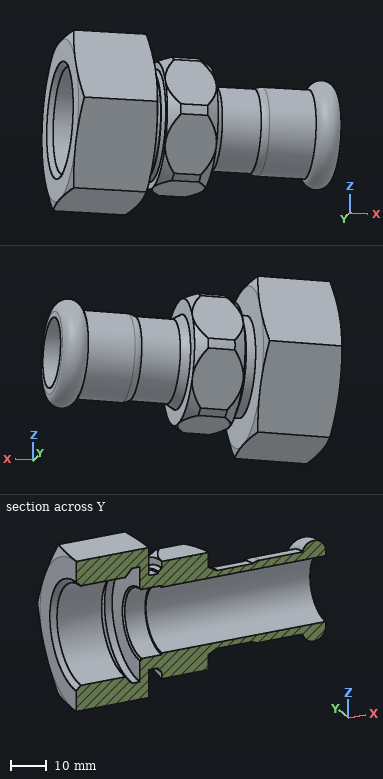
import cadquery as cq
import math


nut_across_flats = 46.0
nut_length = 22.95
nut_chamfer_angle = 15.0
thread_bore_diameter = 30.29
thread_mouth_diameter = 33.25
thread_mouth_depth = 1.5
thread_bore_depth = 15.5
relief_diameter = 35.0
relief_cone_length = 2.1
seat_depth = 20.0

tail_diameter = 29.0
collar_diameter = 30.0
collar_start = 25.8
collar_angle = 40.0

hex_start = 26.9
hex_length = 14.7
hex_across_flats = 36.0
hex_corner_diameter = 40.0
hex_chamfer_angle = 30.0
hex_end = hex_start + hex_length

pipe_diameter = 24.0
shoulder_diameter = 27.0
shoulder_angle = 30.0
socket_diameter = 25.3
socket_start = 55.4
socket_flare_length = 2.2
bead_diameter = 31.0
bead_width = 7.5
overall_length = 78.5
bead_center = overall_length - bead_width / 2

seat_mouth_diameter = 22.0
seat_bore_diameter = 21.0
seat_chamfer = (seat_mouth_diameter - seat_bore_diameter) / 2
passage_diameter = 20.0

sides = 6


def slope(angle):
    return math.tan(math.radians(angle))


def spin(profile):
    """Revolve a closed half-profile about the X axis."""
    return profile.revolve(360, (0, 0), (1, 0))


def cylinder(diameter, start, end):
    return cq.Workplane("YZ", origin=(start, 0, 0)).circle(diameter / 2).extrude(end - start)


def cone(start_diameter, end_diameter, start, end):
    """Solid frustum along X."""
    outline = [(start, 0), (start, start_diameter / 2), (end, end_diameter / 2), (end, 0)]
    return spin(cq.Workplane("XY").polyline(outline).close())


def chamfered_hexagon(across_flats, turned_diameter, start, end, cone_length):
    """Hexagon with corners toward +Y and -Y, coned at both ends down to its inscribed circle."""
    corner_diameter = across_flats / math.cos(math.pi / sides)
    prism = cq.Workplane("YZ", origin=(start, 0, 0)).polygon(sides, corner_diameter).extrude(end - start)
    flat_radius = across_flats / 2
    turned_radius = turned_diameter / 2
    envelope = [
        (start, 0),
        (start, flat_radius),
        (start + cone_length, turned_radius),
        (end - cone_length, turned_radius),
        (end, flat_radius),
        (end, 0),
    ]
    return prism.intersect(spin(cq.Workplane("XY").polyline(envelope).close()))


def union_nut():
    corner_diameter = nut_across_flats / math.cos(math.pi / sides)
    cone_length = (corner_diameter - nut_across_flats) / 2 * slope(nut_chamfer_angle)
    return chamfered_hexagon(nut_across_flats, corner_diameter, 0, nut_length, cone_length)


def tailpiece():
    collar_end_diameter = collar_diameter + 2 * (hex_start - collar_start) * slope(collar_angle)
    collar = cone(collar_diameter, collar_end_diameter, collar_start, hex_start)
    return cylinder(tail_diameter, nut_length, hex_start).union(collar)


def hex_body():
    cone_length = (hex_corner_diameter - hex_across_flats) / 2 / slope(hex_chamfer_angle)
    return chamfered_hexagon(hex_across_flats, hex_corner_diameter, hex_start, hex_end, cone_length)


def flare_midpoint(pipe_radius, socket_radius):
    """A point on the flare arc, which runs tangent into the socket."""
    rise = socket_radius - pipe_radius
    arc_radius = (socket_flare_length**2 + rise**2) / (2 * rise)
    half_sweep = math.asin(socket_flare_length / arc_radius) / 2
    x = socket_start + socket_flare_length - arc_radius * math.sin(half_sweep)
    return x, socket_radius - arc_radius * (1 - math.cos(half_sweep))


def pipe():
    """Pipe with a conical shoulder, and an arc flaring it out to the press socket."""
    pipe_radius = pipe_diameter / 2
    socket_radius = socket_diameter / 2
    shoulder_radius = shoulder_diameter / 2
    shoulder_end = hex_end + (shoulder_radius - pipe_radius) / slope(shoulder_angle)
    flare_end = socket_start + socket_flare_length
    profile = (
        cq.Workplane("XY")
        .moveTo(hex_end, 0)
        .lineTo(hex_end, shoulder_radius)
        .lineTo(shoulder_end, pipe_radius)
        .lineTo(socket_start, pipe_radius)
        .threePointArc(flare_midpoint(pipe_radius, socket_radius), (flare_end, socket_radius))
        .lineTo(bead_center, socket_radius)
        .lineTo(bead_center, 0)
        .close()
    )
    return spin(profile)


def bead():
    """Rounded rim at the socket mouth, with a flat core out to the end face."""
    tube_radius = bead_width / 2
    ring_radius = bead_diameter / 2 - tube_radius
    ring = cq.Workplane("XY").center(bead_center, ring_radius).circle(tube_radius)
    rim = ring.revolve(360, (0, -ring_radius), (1, -ring_radius))
    return rim.union(cylinder(2 * ring_radius, bead_center, overall_length))


def flow_passage():
    """Stepped void along the axis, widest in the relief behind the nut thread."""
    thread_mouth = cone(thread_mouth_diameter, thread_bore_diameter, 0, thread_mouth_depth)
    thread_bore = cylinder(thread_bore_diameter, 0, thread_bore_depth)
    relief_start = thread_bore_depth + relief_cone_length
    relief_cone = cone(thread_bore_diameter, relief_diameter, thread_bore_depth, relief_start)
    relief = cylinder(relief_diameter, relief_start, seat_depth)
    seat_mouth = cone(seat_mouth_diameter, seat_bore_diameter, seat_depth, seat_depth + seat_chamfer)
    seat_bore = cylinder(seat_bore_diameter, seat_depth, hex_start)
    passage = cylinder(passage_diameter, 0, overall_length)
    nut_bore = thread_mouth.union(thread_bore).union(relief_cone).union(relief)
    return nut_bore.union(seat_mouth).union(seat_bore).union(passage)


body = union_nut().union(tailpiece()).union(hex_body()).union(pipe()).union(bead())
result = body.cut(flow_passage())